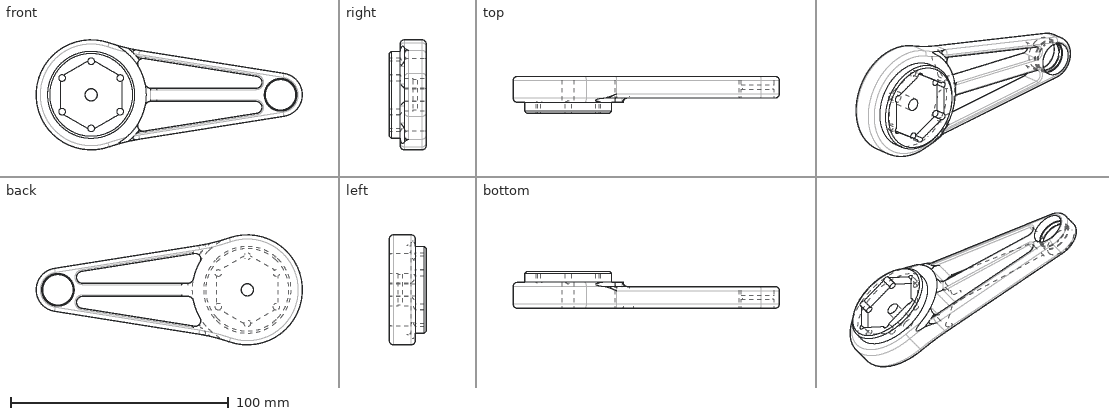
import cadquery as cq
import math

total_length = 122.4
hub_radius = 25.3
eye_radius = 10.0
arm_half_angle = math.radians(9.0)
neck_radius = 80.0

arm_thickness = 10.0
hub_thickness = 12.0
edge_round = 2.0
runout_length = 2.9

boss_diameter = 40.0
boss_height = 5.0
boss_chamfer = 1.0
hex_across_flats = 28.4
hex_depth = boss_height
relief_circle_radius = 15.4
relief_diameter = 3.0
relief_cone_depth = 0.9
centre_hole_diameter = 5.5

bore_diameter = 15.0
lip_diameter = 14.0
lip_width = 2.0

rib_half_width = 3.0
side_bar_thickness = 3.4
window_corner_radius = 2.5
window_end_radius = 2.7
window_rim_round = 0.7

eye_x = total_length - hub_radius - eye_radius
front_of_hub = -hub_thickness
front_of_boss = front_of_hub - boss_height
step_height = hub_thickness - arm_thickness
cos_arm = math.cos(arm_half_angle)
sin_arm = math.sin(arm_half_angle)


def polar(centre, radius, angle):
    return (centre[0] + radius * math.cos(angle), centre[1] + radius * math.sin(angle))


def mirrored(point):
    return (point[0], -point[1])


def side_line_z(x, inset):
    """Height at x of the arm's upper straight side, moved inward by inset."""
    tangent_x = eye_x + (eye_radius - inset) * sin_arm
    tangent_z = (eye_radius - inset) * cos_arm
    return tangent_z + (tangent_x - x) * math.tan(arm_half_angle)


def outline():
    """Closed outline in the XZ plane, symmetric about the X axis."""
    centre_distance = hub_radius + neck_radius
    across_side = eye_radius + eye_x * sin_arm + neck_radius
    neck_angle = math.pi / 2 - arm_half_angle - math.acos(across_side / centre_distance)
    neck_centre = polar((0, 0), centre_distance, neck_angle)

    from_hub = neck_angle + math.pi
    from_side = 3 * math.pi / 2 - arm_half_angle
    neck_start = polar(neck_centre, neck_radius, from_hub)
    neck_middle = polar(neck_centre, neck_radius, (from_hub + from_side) / 2)
    neck_end = polar(neck_centre, neck_radius, from_side)
    side_end = (eye_x + eye_radius * sin_arm, eye_radius * cos_arm)

    return (
        cq.Workplane("XZ")
        .moveTo(*mirrored(neck_start))
        .threePointArc((-hub_radius, 0), neck_start)
        .threePointArc(neck_middle, neck_end)
        .lineTo(*side_end)
        .threePointArc((eye_x + eye_radius, 0), mirrored(side_end))
        .lineTo(*mirrored(neck_end))
        .threePointArc(mirrored(neck_middle), mirrored(neck_start))
        .close()
    )


def rounded_plate(thickness):
    return outline().extrude(thickness).faces("<Y or >Y").edges().fillet(edge_round)


def cylinder(diameter, x, front, back):
    """Cylinder along Y between two depths."""
    return cq.Workplane("XZ", origin=(x, back, 0)).circle(diameter / 2).extrude(back - front)


def window_wedge():
    """Upper window between the central rib and the side bar, run back to the hub axis."""
    hub_end_z = side_line_z(0, side_bar_thickness)
    apex_x = (hub_end_z - rib_half_width) / math.tan(arm_half_angle)
    return (
        cq.Workplane("XZ")
        .moveTo(0, rib_half_width)
        .lineTo(apex_x, rib_half_width)
        .lineTo(0, hub_end_z)
        .close()
        .extrude(hub_thickness)
        .edges("|Y").edges(">X").fillet(window_end_radius)
    )


def hub_window():
    """The same window stopped at the hub wall, with rounded corners there."""
    hub_wall = cylinder(2 * hub_radius, 0, front_of_hub, 0)
    wall_corners = cq.selectors.BoxSelector((0, front_of_hub, 0), (hub_radius, 0, hub_radius))
    return window_wedge().cut(hub_wall).edges("|Y").edges(wall_corners).fillet(window_corner_radius)


def cut_both_sides(target, upper):
    return target.cut(upper).cut(upper.mirror("XY"))


def arm():
    """Rounded plate with both windows, their rims rounded front and back."""
    plate = cut_both_sides(rounded_plate(arm_thickness), window_wedge())
    flat_faces = plate.faces("<Y or >Y").vals()
    window_rims = [wire for face in flat_faces for wire in face.innerWires()]
    rim_edges = [edge for wire in window_rims for edge in wire.Edges()]
    return plate.newObject(rim_edges).fillet(window_rim_round)


def hub_zone():
    """Round zone at hub thickness, with a cove down to the arm and a sloping run-out."""
    cove_end = hub_radius + step_height
    zone_radius = cove_end + runout_length
    cove_sag = step_height * math.sqrt(0.5)
    return (
        cq.Workplane("XY")
        .lineTo(zone_radius, 0)
        .lineTo(zone_radius, edge_round - arm_thickness)
        .lineTo(cove_end, -arm_thickness)
        .threePointArc((cove_end - cove_sag, front_of_hub + cove_sag), (hub_radius, front_of_hub))
        .lineTo(0, front_of_hub)
        .close()
        .revolve(360, (0, 0, 0), (0, 1, 0))
    )


def hub():
    return cut_both_sides(rounded_plate(hub_thickness).intersect(hub_zone()), hub_window())


def boss():
    return cylinder(boss_diameter, 0, front_of_boss, front_of_hub).faces("<Y").chamfer(boss_chamfer)


def hex_socket():
    """Hexagon with a drilled relief near each corner, ending in a cone."""
    floor = front_of_boss + hex_depth
    across_corners = hex_across_flats / math.cos(math.pi / 6)
    socket = (
        cq.Workplane("XZ", origin=(0, floor, 0))
        .transformed(rotate=(0, 0, 30))
        .polygon(6, across_corners)
        .extrude(hex_depth)
    )
    relief = (
        cq.Workplane("XY")
        .moveTo(0, floor + relief_cone_depth)
        .lineTo(relief_diameter / 2, floor)
        .lineTo(relief_diameter / 2, front_of_boss)
        .lineTo(0, front_of_boss)
        .close()
        .revolve(360, (0, 0, 0), (0, 1, 0))
        .translate((0, 0, relief_circle_radius))
    )
    for corner in range(6):
        socket = socket.union(relief.rotate((0, 0, 0), (0, 1, 0), 60 * corner))
    return socket


def eye_bore():
    """Bore open at both ends, narrowed by the lip at mid-thickness."""
    lip_front = -(arm_thickness + lip_width) / 2
    lip_back = lip_front + lip_width
    return (
        cylinder(lip_diameter, eye_x, -arm_thickness, 0)
        .union(cylinder(bore_diameter, eye_x, -arm_thickness, lip_front))
        .union(cylinder(bore_diameter, eye_x, lip_back, 0))
    )


body = arm().union(hub()).union(boss())
body = body.cut(hex_socket()).cut(eye_bore())
result = body.cut(cylinder(centre_hole_diameter, 0, front_of_boss, 0))